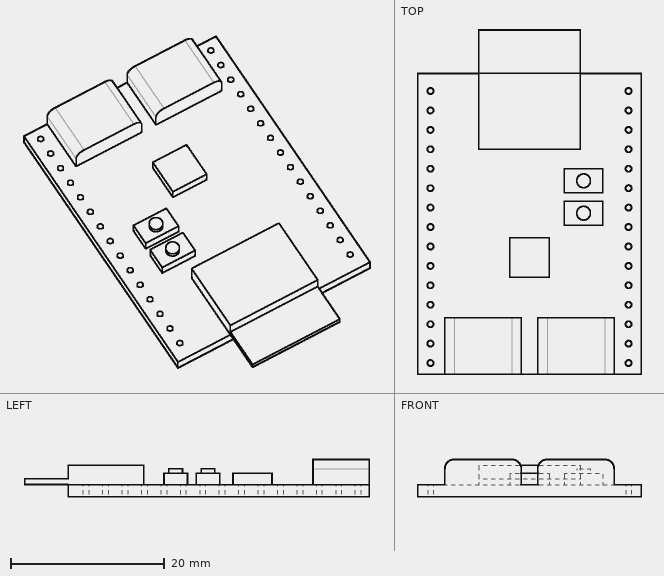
import cadquery as cq

total_length = 45.0
total_height = 4.9
front_y = -total_length / 2
back_y = total_length / 2

board_width = 29.2
board_thickness = 1.6
antenna_overhang = 5.65
board_length = total_length - antenna_overhang
board_back_y = front_y + board_length

hole_diameter = 0.75
holes_per_row = 15
hole_pitch = 2.54
hole_row_spacing = 25.88
first_hole_inset = 1.5

module_width = 13.28
module_length = 9.9
module_height = 2.5
antenna_thickness = 0.75

connector_width = 10.0
connector_length = 7.4
connector_height = total_height - board_thickness
connector_gap = 2.15
connector_fillet = 1.2

body_height = 1.5
chip_side = 5.15
chip_y = -7.25
button_width = 5.0
button_length = 3.1
button_x = 7.05
button_pitch = 4.25
upper_button_y = 2.8
cap_diameter = 1.8
cap_height = 0.6


def block_on_board(width, length, height, x, y):
    """Block resting on the board, centred at (x, y)."""
    block = cq.Workplane("XY").box(width, length, height, centered=(True, True, False))
    return block.translate((x, y, board_thickness))


def make_board():
    board = cq.Workplane("XY").box(
        board_width, board_length, board_thickness, centered=(True, True, False)
    )
    board = board.translate((0, front_y + board_length / 2, 0))
    hole_points = [
        (side * hole_row_spacing / 2, front_y + first_hole_inset + i * hole_pitch)
        for side in (-1, 1)
        for i in range(holes_per_row)
    ]
    holes = cq.Workplane("XY").pushPoints(hole_points).circle(hole_diameter / 2).extrude(board_thickness)
    return board.cut(holes)


def make_radio_module():
    module_front_y = board_back_y - module_length
    module = block_on_board(
        module_width, module_length, module_height, 0, board_back_y - module_length / 2
    )
    strip = block_on_board(
        module_width, back_y - module_front_y, antenna_thickness, 0, (module_front_y + back_y) / 2
    )
    return module.union(strip)


def make_connector(x):
    connector = block_on_board(
        connector_width, connector_length, connector_height, x, front_y + connector_length / 2
    )
    return connector.faces(">Z").edges("|Y").fillet(connector_fillet)


def make_button(y):
    body = block_on_board(button_width, button_length, body_height, button_x, y)
    cap = cq.Workplane("XY").circle(cap_diameter / 2).extrude(body_height + cap_height)
    return body.union(cap.translate((button_x, y, board_thickness)))


result = make_board().union(make_radio_module())
result = result.union(block_on_board(chip_side, chip_side, body_height, 0, chip_y))
for side in (-1, 1):
    result = result.union(make_connector(side * (connector_width + connector_gap) / 2))
for button_y in (upper_button_y, upper_button_y - button_pitch):
    result = result.union(make_button(button_y))